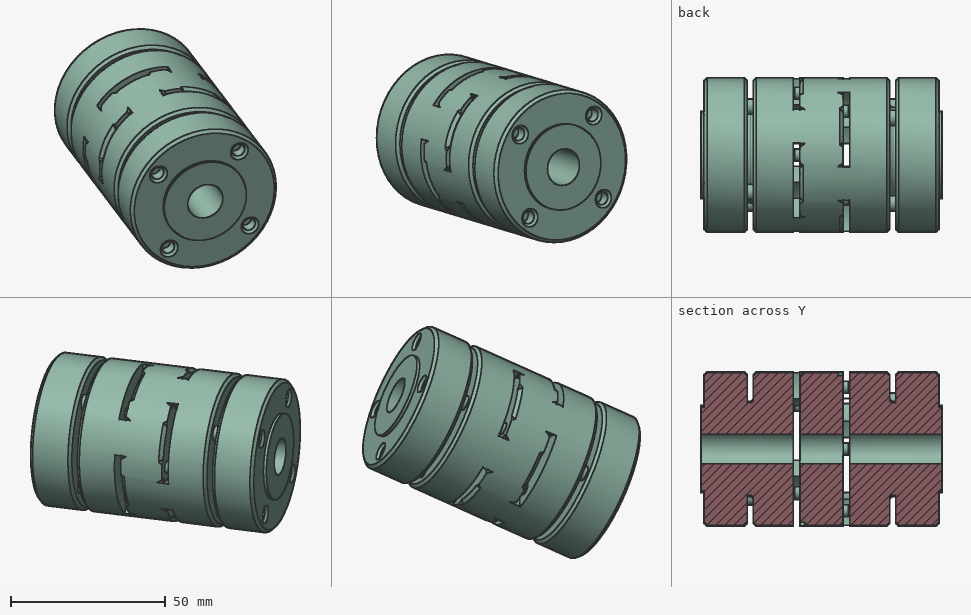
import cadquery as cq
import math

overall_length = 78.0
outer_diameter = 50.0
outer_radius = outer_diameter / 2
edge_chamfer = 1.0
shaft_bore_diameter = 12.0

boss_length = 1.0
boss_diameter = 28.15
hub_outer_x = overall_length / 2 - boss_length
hub_inner_x = 23.95

body_half_length = 22.1
waist_diameter = 31.0
waist_radius = waist_diameter / 2
waist_flare = 1.0

hub_pin_diameter = 5.0
hub_pin_circle_radius = 19.7
hub_pin_angle = 52.5
hub_hole_diameter = 4.2
hub_hole_mouth_diameter = 6.0
hub_hole_depth = 4.7

slot_inner_x = 7.0
slot_outer_x = 9.1
slot_count = 4
slot_pitch = 360 / slot_count
slot_angle = slot_pitch / 4
slot_half_angle = 31.4
chamber_radius = 16.6
lobe_circle_radius = 22.55
lobe_radius = 13.1

relief_size = 1.2
relief_half_width = 6.3
relief_end_direction = (1.8, 4.0, 1.6)
corner_length = 1.6
corner_width = 1.2
corner_depth = 1.55
cut_clearance = 0.8

slot_pin_diameter = 4.0
slot_pin_circle_radius = 20.0
positive_slot_pin_angle = 0.0
negative_slot_pin_angle = 45.0
slot_pin_tip_x = 8.65
slot_pin_root_x = 4.7

pattern_angles = [slot_pitch * i for i in range(slot_count)]


def cylinder_x(start_x, end_x, diameter, y=0.0):
    """Cylinder parallel to X between two X positions."""
    return cq.Workplane("YZ", origin=(start_x, y, 0)).circle(diameter / 2).extrude(end_x - start_x)


def turn(shape, angle):
    """Rotate about the X axis, from +Y towards +Z."""
    return shape.rotate((0, 0, 0), (1, 0, 0), angle)


def cylinders_around(start_x, end_x, diameter, circle_radius, first_angle):
    """Ring of equally spaced cylinders parallel to X."""
    ring = cq.Workplane("YZ")
    for angle in pattern_angles:
        ring = ring.union(turn(cylinder_x(start_x, end_x, diameter, circle_radius), first_angle + angle))
    return ring


def make_outline():
    """Turned solid of the +X half, from the middle plane to the boss face."""
    flare_mid = waist_flare * (1 - math.sqrt(0.5))
    return (
        cq.Workplane("XY")
        .moveTo(0, 0)
        .lineTo(0, outer_radius)
        .lineTo(body_half_length - edge_chamfer, outer_radius)
        .lineTo(body_half_length, outer_radius - edge_chamfer)
        .lineTo(body_half_length, waist_radius + waist_flare)
        .threePointArc(
            (body_half_length + flare_mid, waist_radius + flare_mid),
            (body_half_length + waist_flare, waist_radius),
        )
        .lineTo(hub_inner_x, waist_radius)
        .lineTo(hub_inner_x, outer_radius - edge_chamfer)
        .lineTo(hub_inner_x + edge_chamfer, outer_radius)
        .lineTo(hub_outer_x - edge_chamfer, outer_radius)
        .lineTo(hub_outer_x, outer_radius - edge_chamfer)
        .lineTo(hub_outer_x, boss_diameter / 2)
        .lineTo(overall_length / 2, boss_diameter / 2)
        .lineTo(overall_length / 2, 0)
        .close()
        .revolve(360, (0, 0, 0), (1, 0, 0))
    )


def make_slots():
    """Round chamber with four lobes that break through the outer surface."""
    lobes = cylinders_around(slot_inner_x, slot_outer_x, 2 * lobe_radius, lobe_circle_radius, -slot_angle)
    return lobes.union(cylinder_x(slot_inner_x, slot_outer_x, 2 * chamber_radius))


def make_relief():
    """Chamfer along the middle of one slot, centred on +Y, with shallow sloping ends."""
    floor_radius = outer_radius - relief_size
    relief = (
        cq.Workplane("XY")
        .moveTo(slot_inner_x, floor_radius)
        .lineTo(slot_inner_x - 2 * relief_size, outer_radius + relief_size)
        .lineTo(slot_inner_x, outer_radius + relief_size)
        .close()
        .revolve(360, (0, 0, 0), (1, 0, 0))
    )
    for side in (1, -1):
        end_plane = cq.Plane(
            origin=(
                slot_inner_x - relief_size,
                math.sqrt(outer_radius**2 - relief_half_width**2),
                side * relief_half_width,
            ),
            xDir=(0, side * relief_end_direction[2], relief_end_direction[1]),
            normal=(relief_end_direction[0], relief_end_direction[1], -side * relief_end_direction[2]),
        )
        above_end = cq.Workplane(end_plane).rect(4 * outer_radius, 4 * outer_radius).extrude(outer_radius)
        relief = relief.intersect(above_end)
    return relief


def make_corner(side):
    """Triangular relief at one end of a slot centred on +Y; side is +1 or -1."""
    corner = (
        cq.Workplane("XZ", origin=(0, outer_radius + cut_clearance, 0))
        .moveTo(slot_inner_x, 0)
        .lineTo(slot_inner_x - corner_length, 0)
        .lineTo(slot_inner_x, -side * corner_width)
        .close()
        .extrude(corner_depth + cut_clearance)
    )
    return turn(corner, side * slot_half_angle)


def make_hub_hole():
    """Blind hole with a flared mouth in the hub face, on the +Y axis."""
    mouth_depth = (hub_hole_mouth_diameter - hub_hole_diameter) / 2
    hole = cylinder_x(hub_outer_x - hub_hole_depth, hub_outer_x, hub_hole_diameter, hub_pin_circle_radius)
    mouth = (
        cq.Workplane("YZ", origin=(hub_outer_x, hub_pin_circle_radius, 0))
        .circle(hub_hole_mouth_diameter / 2)
        .workplane(offset=-mouth_depth)
        .circle(hub_hole_diameter / 2)
        .loft()
    )
    return hole.union(mouth)


def make_half(slot_pin_angle):
    """Complete +X half; only the angle of its slot pins varies."""
    half = make_outline().cut(make_slots())
    for angle in pattern_angles:
        for cutter in (make_relief(), make_corner(1), make_corner(-1)):
            half = half.cut(turn(cutter, angle - slot_angle))
        half = half.cut(turn(make_hub_hole(), angle + hub_pin_angle))
    slot_pins = cylinders_around(
        slot_pin_root_x, slot_pin_tip_x, slot_pin_diameter, slot_pin_circle_radius, slot_pin_angle
    )
    hub_pins = cylinders_around(
        body_half_length, hub_inner_x, hub_pin_diameter, hub_pin_circle_radius, hub_pin_angle
    )
    return half.union(slot_pins).union(hub_pins)


positive_half = make_half(positive_slot_pin_angle)
negative_half = make_half(negative_slot_pin_angle).rotate((0, 0, 0), (0, 1, 0), 180)
shaft_bore = cylinder_x(-overall_length / 2, overall_length / 2, shaft_bore_diameter)
result = positive_half.union(negative_half).cut(shaft_bore)